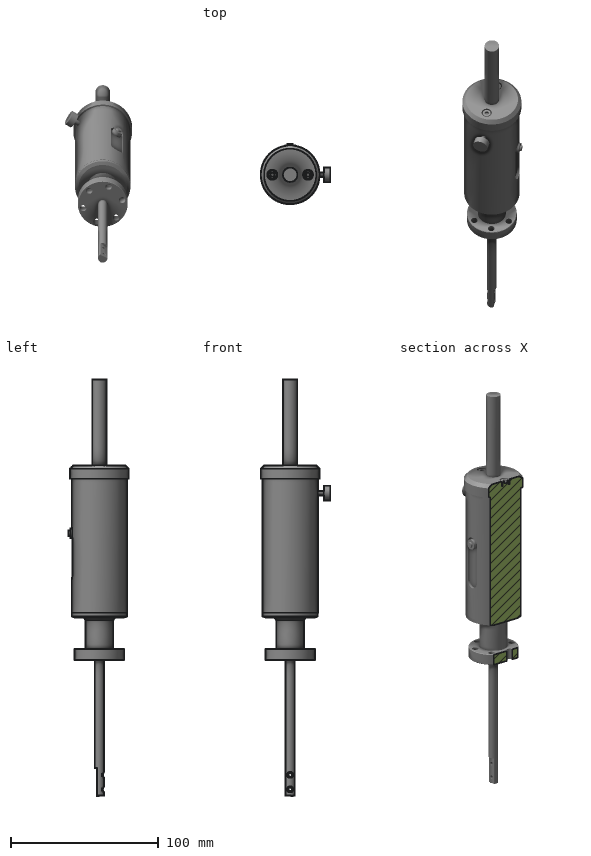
import cadquery as cq


flange_diameter = 33.8
flange_thickness = 7.6
flange_chamfer = 0.3
bolt_circle_diameter = 27.0
bolt_hole_diameter = 4.39
bolt_hole_count = 6
first_bolt_angle = 15.0
neck_diameter = 19.05
weld_leg_height = 1.6
weld_leg_width = 1.0

body_diameter = 37.8
body_bottom = 28.8
end_plate_diameter = 37.6
end_plate_thickness = 3.4
end_plate_chamfer_width = 0.8
end_plate_chamfer_height = 2.4

cap_diameter = 40.0
cap_bottom = 122.8
cap_top = 132.0
cap_chamfer = 2.3

screw_offset = 12.1
counterbore_diameter = 6.86
counterbore_depth = 3.6
screw_head_diameter = 5.41
screw_head_height = 3.2
screw_socket_diameter = 2.85
screw_socket_depth = 1.6

upper_shaft_diameter = 9.8
total_height = 282.76
lower_shaft_diameter = 6.35
lower_shaft_length = 91.8
tip_pin_diameter = 1.19
tip_pin_projection = 0.6
tip_pin_x = 1.3
upper_shaft_top = total_height - lower_shaft_length - tip_pin_projection

flat_length = 18.6
flat_offset = 1.7
mount_hole_diameter = 2.41
mount_counterbore_diameter = 4.17
mount_counterbore_depth = 1.6
mount_holes_above_end = (4.2, 14.0)

overall_length_x = 47.21
knob_diameter = 10.2
knob_length = 4.4
knob_stem_diameter = 3.25
knob_height = 113.2
knob_end = overall_length_x - cap_diameter / 2

overall_length_y = 41.19
slot_width = 9.53
slot_depth = 2.0
slot_cut_clearance = 1.0
slot_bottom = 54.2
indicator_height = 86.0
indicator_disc_diameter = 6.99
indicator_disc_end = 19.9
indicator_pin_diameter = 3.8
indicator_pin_end = overall_length_y - cap_diameter / 2


def upright_cylinder(diameter, bottom, top):
    return cq.Workplane("XY").workplane(offset=bottom).circle(diameter / 2).extrude(top - bottom)


def cylinder_along_x(diameter, start, end, height):
    plane = cq.Workplane("YZ", origin=(start, 0, height))
    return plane.circle(diameter / 2).extrude(end - start)


def cylinder_along_y(diameter, start, end, height):
    plane = cq.Workplane(cq.Plane((0, start, height), (1, 0, 0), (0, 1, 0)))
    return plane.circle(diameter / 2).extrude(end - start)


def make_flange():
    flange = upright_cylinder(flange_diameter, 0, flange_thickness)
    flange = flange.edges().chamfer(flange_chamfer)
    bolt_holes = (
        cq.Workplane("XY")
        .polarArray(bolt_circle_diameter / 2, first_bolt_angle, 360, bolt_hole_count)
        .circle(bolt_hole_diameter / 2)
        .extrude(flange_thickness)
    )
    return flange.cut(bolt_holes)


def make_neck():
    neck = upright_cylinder(neck_diameter, flange_thickness, body_bottom)
    neck_radius = neck_diameter / 2
    weld = (
        cq.Workplane("XZ")
        .moveTo(0, body_bottom - weld_leg_height)
        .lineTo(neck_radius, body_bottom - weld_leg_height)
        .lineTo(neck_radius + weld_leg_width, body_bottom)
        .lineTo(0, body_bottom)
        .close()
        .revolve(360, (0, 0, 0), (0, 1, 0))
    )
    return neck.union(weld)


def make_body():
    tube_bottom = body_bottom + end_plate_thickness
    tube = upright_cylinder(body_diameter, tube_bottom, cap_bottom)
    end_plate = upright_cylinder(end_plate_diameter, body_bottom, tube_bottom)
    end_plate = end_plate.faces("<Z").edges().chamfer(end_plate_chamfer_width, end_plate_chamfer_height)
    return tube.union(end_plate)


def make_cap():
    cap = upright_cylinder(cap_diameter, cap_bottom, cap_top)
    cap = cap.faces(">Z").chamfer(cap_chamfer)
    for side in (-1, 1):
        cap = cap.cut(counterbore(side * screw_offset)).union(cap_screw(side * screw_offset))
    return cap


def counterbore(x):
    return upright_cylinder(counterbore_diameter, cap_top - counterbore_depth, cap_top).translate((x, 0, 0))


def cap_screw(x):
    seat = cap_top - counterbore_depth
    head_top = seat + screw_head_height
    head = upright_cylinder(screw_head_diameter, seat, head_top)
    socket = (
        cq.Workplane("XY")
        .workplane(offset=head_top - screw_socket_depth)
        .circle(screw_socket_diameter / 2)
        .extrude(screw_socket_depth)
    )
    return head.cut(socket).translate((x, 0, 0))


def make_lower_shaft():
    shaft = upright_cylinder(lower_shaft_diameter, -lower_shaft_length, 0)
    flat = cq.Workplane("XY").box(
        lower_shaft_diameter, lower_shaft_diameter, flat_length, centered=(True, False, False)
    )
    shaft = shaft.cut(flat.translate((0, flat_offset, -lower_shaft_length)))
    front = -lower_shaft_diameter / 2
    for height_above_end in mount_holes_above_end:
        height = height_above_end - lower_shaft_length
        shaft = shaft.cut(cylinder_along_y(mount_hole_diameter, front, -front, height))
        recess_end = front + mount_counterbore_depth
        shaft = shaft.cut(cylinder_along_y(mount_counterbore_diameter, front, recess_end, height))
    tip_pin = upright_cylinder(tip_pin_diameter, -lower_shaft_length - tip_pin_projection, -lower_shaft_length)
    tip_pin_y = flat_offset - tip_pin_diameter / 2
    return shaft.union(tip_pin.translate((tip_pin_x, tip_pin_y, 0)))


def make_thumb_screw():
    stem = cylinder_along_x(knob_stem_diameter, 0, knob_end, knob_height)
    knob = cylinder_along_x(knob_diameter, knob_end - knob_length, knob_end, knob_height)
    return stem.union(knob)


def make_slot():
    length = indicator_height - slot_bottom + slot_width / 2
    middle = slot_bottom + length / 2
    floor = body_diameter / 2 - slot_depth
    plane = cq.Workplane(cq.Plane((0, floor, middle), (1, 0, 0), (0, 1, 0)))
    return plane.slot2D(length, slot_width, 90).extrude(slot_depth + slot_cut_clearance)


def make_indicator():
    root = body_diameter / 2 - slot_depth
    disc = cylinder_along_y(indicator_disc_diameter, root, indicator_disc_end, indicator_height)
    pin = cylinder_along_y(indicator_pin_diameter, root, indicator_pin_end, indicator_height)
    return disc.union(pin)


result = (
    make_body()
    .cut(make_slot())
    .union(make_indicator())
    .union(make_cap())
    .union(make_neck())
    .union(make_flange())
    .union(make_lower_shaft())
    .union(upright_cylinder(upper_shaft_diameter, cap_top, upper_shaft_top))
    .union(make_thumb_screw())
)